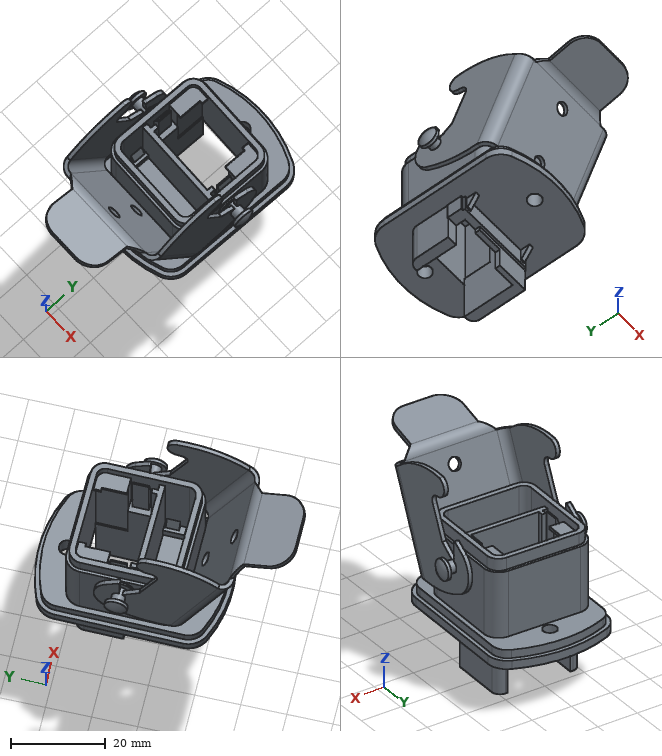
import cadquery as cq
import math


OVERLAP = 0.1

BODY_TURN = -1.0
LEVER_OPENING = 24.7
LEVER_LEAN = -0.5

FLANGE_HALF_WIDTH = 15.0
FLANGE_HALF_LENGTH = 21.0
FLANGE_END_RADIUS = 30.7
FLANGE_CORNER_RADIUS = 5.0
FLANGE_STEP = 1.0
FLANGE_STEP_Z = 2.1
FLANGE_TOP = 4.15
MOUNT_HOLE_Y = 15.0
MOUNT_HOLE_DIAMETER = 3.35

TOWER_HALF = 12.8
TOWER_RADIUS = 3.7
TOWER_STEP_Z = 20.35
TOWER_TOP = 23.3
RIM_INSET = 0.7
CAVITY_HALF = 10.8
CAVITY_RADIUS = 1.9

LEG_BOTTOM = -11.2
LEG_OUTER_X = 10.55
LEG_INNER_X = 7.9
LEG_BACK_Y = 10.75
LEG_CORNER_RADIUS = 2.1
INSERT_TOP = 21.35
CROSS_WALL_BACK_Y = -2.45
CROSS_WALL_FRONT_Y = -3.7
COLLAR_BOTTOM = -4.45
COLLAR_HALF = 10.7
COLLAR_PAD_HALF = 10.1
COLLAR_PAD_Y = -4.25
TONGUE_BOTTOM = -5.6
TONGUE_LEFT_X = -4.55
FRONT_LEG_LEFT_X = 2.15
RIB_X = 8.9
RIB_WIDTH = 1.15
RIB_FRONT_Y = -6.7
RIB_FOOT_Y = -4.5
RIB_NOSE_Z = -3.3
RIB_BOTTOM = -3.4
LIP_INNER_X = 7.15
LIP_FRONT_Y = 3.75
LIP_THICKNESS = 0.7
NUB_INNER_X = 6.4
NUB_FRONT_Y = 9.2
GUIDE_INNER_X = 8.25
LEDGE_Z = 11.35
LATCH_BACK_Y = 3.05
LATCH_FRONT_Y = -0.5
LATCH_X = 9.25
LATCH_THICKNESS = 0.35
LATCH_TOP = 22.15
LATCH_SLOPE_Z = 18.2
POST_INNER_X = 8.5
POST_OUTER_X = 9.55
POST_BACK_Y = -1.2
SHELF_INNER_X = 8.85
SHELF_FRONT_Y = -8.35
WEDGE_X = 9.65
WEDGE_BACK_Y = -4.05
WEDGE_FRONT_Y = -7.0
WEDGE_RISE = 2.3
CORNER_STEP = 1.15

PIN_Z = 16.85
PIN_RADIUS = 1.5
PIN_SPAN = 36.5
PIN_HALF_SPAN = PIN_SPAN / 2
HEAD_RADIUS = 2.5
HEAD_THICKNESS = 1.6
HEAD_RIM = 0.8
BOSS_RADIUS = 2.95
BOSS_HEIGHT = 0.45

LEVER_HALF_WIDTH = 14.75
SHEET = 1.0
LEVER_BEND_RADIUS = 3.0
PLATE_FRONT_Y = -16.4
PLATE_TOP = 21.75
PLATE_BOTTOM = -2.3
PLATE_HOLE_DIAMETER = 3.05
PLATE_HOLES_Z = (2.65, 17.65)
TAB_BEND = 50.0
TAB_BEND_RADIUS = 3.65
TAB_LENGTH = 10.45
TAB_HALF_WIDTH = 8.6
TAB_CORNER_RADIUS = 5.0


def block(x0, x1, y0, y1, z0, z1):
    """Axis-aligned block between pairs of opposite faces."""
    return cq.Workplane("XY").box(x1 - x0, y1 - y0, z1 - z0, centered=False).translate((x0, y0, z0))


def rounded_prism(half, radius, z0, z1):
    """Square prism with rounded upright edges."""
    return block(-half, half, -half, half, z0, z1).edges("|Z").fillet(radius)


def both_sides(solid):
    """A solid together with its mirror image in X."""
    return solid.union(solid.mirror("YZ"))


def flange_layer(inset, z0, z1):
    """Plate with straight sides, bowed ends and corner arcs tangent to both."""
    half_width = FLANGE_HALF_WIDTH - inset
    half_length = FLANGE_HALF_LENGTH - inset
    corner = FLANGE_CORNER_RADIUS - inset
    end = FLANGE_END_RADIUS - inset
    corner_x = half_width - corner
    bow_center_y = half_length - end
    bow_angle = math.asin(corner_x / (end - corner))
    corner_y = bow_center_y + (end - corner) * math.cos(bow_angle)
    join = (end * math.sin(bow_angle), bow_center_y + end * math.cos(bow_angle))
    mid_angle = bow_angle / 2 + math.pi / 4
    mid = (corner_x + corner * math.sin(mid_angle), corner_y + corner * math.cos(mid_angle))
    return (
        cq.Workplane("XY").workplane(offset=z0)
        .moveTo(half_width, -corner_y)
        .lineTo(half_width, corner_y)
        .threePointArc(mid, join)
        .threePointArc((0, half_length), (-join[0], join[1]))
        .threePointArc((-mid[0], mid[1]), (-half_width, corner_y))
        .lineTo(-half_width, -corner_y)
        .threePointArc((-mid[0], -mid[1]), (-join[0], -join[1]))
        .threePointArc((0, -half_length), (join[0], -join[1]))
        .threePointArc((mid[0], -mid[1]), (half_width, -corner_y))
        .close()
        .extrude(z1 - z0)
    )


def housing():
    """Flange and hollow tower, open below where the insert passes through."""
    rim_half = TOWER_HALF - RIM_INSET
    solid = flange_layer(0, 0, FLANGE_STEP_Z).union(flange_layer(FLANGE_STEP, FLANGE_STEP_Z, FLANGE_TOP))
    solid = solid.union(rounded_prism(TOWER_HALF, TOWER_RADIUS, 0, TOWER_STEP_Z))
    solid = solid.union(rounded_prism(rim_half, TOWER_RADIUS - RIM_INSET, 0, TOWER_TOP))
    solid = solid.cut(rounded_prism(CAVITY_HALF, CAVITY_RADIUS, FLANGE_STEP_Z, TOWER_TOP))
    solid = solid.cut(block(-LEG_INNER_X, LEG_INNER_X, CROSS_WALL_BACK_Y, CAVITY_HALF, 0, FLANGE_STEP_Z))
    holes = (
        cq.Workplane("XY")
        .pushPoints([(0, MOUNT_HOLE_Y), (0, -MOUNT_HOLE_Y)])
        .circle(MOUNT_HOLE_DIAMETER / 2)
        .extrude(FLANGE_TOP)
    )
    return solid.cut(holes)


def insert_legs():
    """Legs, collar and ribs that hang below the flange."""
    leg = block(LEG_INNER_X, LEG_OUTER_X, 0, LEG_BACK_Y, LEG_BOTTOM, OVERLAP)
    leg = leg.edges("|Z and >X and >Y").fillet(LEG_CORNER_RADIUS)
    collar_side = block(LEG_INNER_X, COLLAR_HALF, CROSS_WALL_FRONT_Y, OVERLAP, COLLAR_BOTTOM, OVERLAP)
    rib = (
        cq.Workplane("YZ").workplane(offset=RIB_X - RIB_WIDTH / 2)
        .moveTo(CROSS_WALL_FRONT_Y, OVERLAP)
        .lineTo(CROSS_WALL_FRONT_Y, RIB_BOTTOM)
        .lineTo(RIB_FOOT_Y, RIB_BOTTOM)
        .lineTo(RIB_FOOT_Y, RIB_NOSE_Z)
        .lineTo(RIB_FRONT_Y, 0)
        .lineTo(RIB_FRONT_Y, OVERLAP)
        .close()
        .extrude(RIB_WIDTH)
    )
    solid = both_sides(leg.union(collar_side).union(rib))
    front, back = CROSS_WALL_FRONT_Y, CROSS_WALL_BACK_Y
    solid = solid.union(block(-COLLAR_HALF, COLLAR_HALF, front, back, COLLAR_BOTTOM, OVERLAP))
    solid = solid.union(
        block(-COLLAR_PAD_HALF, COLLAR_PAD_HALF, COLLAR_PAD_Y, front, COLLAR_BOTTOM, OVERLAP)
    )
    solid = solid.union(block(TONGUE_LEFT_X, LEG_OUTER_X, front, back, TONGUE_BOTTOM, OVERLAP))
    solid = solid.union(block(FRONT_LEG_LEFT_X, LEG_OUTER_X, front, back, LEG_BOTTOM, OVERLAP))
    return solid.union(block(LEG_INNER_X, LEG_OUTER_X, back, OVERLAP, LEG_BOTTOM, OVERLAP))


def insert_walls():
    """Cross wall, side guides, latches and shelves inside the tower."""
    wall_x = CAVITY_HALF + OVERLAP
    base = FLANGE_STEP_Z - OVERLAP
    cross_front, cross_back = CROSS_WALL_FRONT_Y, CROSS_WALL_BACK_Y

    side = block(GUIDE_INNER_X, wall_x, LIP_FRONT_Y, wall_x, base, INSERT_TOP)
    lip_bottom = INSERT_TOP - LIP_THICKNESS
    side = side.union(block(LIP_INNER_X, wall_x, LIP_FRONT_Y, wall_x, lip_bottom, INSERT_TOP))
    side = side.union(block(NUB_INNER_X, wall_x, NUB_FRONT_Y, wall_x, lip_bottom, INSERT_TOP))

    side = side.union(block(LEG_INNER_X, wall_x, cross_back, LIP_FRONT_Y, base, LEDGE_Z))
    latch = (
        cq.Workplane("XZ", origin=(0, LATCH_BACK_Y, 0))
        .moveTo(LATCH_X, base)
        .lineTo(LATCH_X, LATCH_TOP)
        .lineTo(LATCH_X + LATCH_THICKNESS, LATCH_TOP)
        .lineTo(CAVITY_HALF, LATCH_SLOPE_Z)
        .lineTo(CAVITY_HALF, base)
        .close()
        .extrude(LATCH_BACK_Y - LATCH_FRONT_Y)
    )
    side = side.union(latch)
    side = side.union(block(POST_INNER_X, POST_OUTER_X, cross_back, POST_BACK_Y, base, INSERT_TOP))

    shelf = block(SHELF_INNER_X, wall_x, SHELF_FRONT_Y, cross_front, base, FLANGE_TOP)
    wedge = (
        cq.Workplane("XZ", origin=(0, WEDGE_BACK_Y, 0))
        .moveTo(WEDGE_X, base)
        .lineTo(WEDGE_X, FLANGE_TOP)
        .lineTo(wall_x, FLANGE_TOP + WEDGE_RISE)
        .lineTo(wall_x, base)
        .close()
        .extrude(WEDGE_BACK_Y - WEDGE_FRONT_Y)
    )
    shelf = shelf.union(wedge)
    shelf = shelf.union(
        block(SHELF_INNER_X, wall_x, -wall_x, SHELF_FRONT_Y, base, FLANGE_TOP - CORNER_STEP)
    )
    walls = both_sides(side.union(shelf))
    return walls.union(block(-wall_x, wall_x, cross_front, cross_back, base, INSERT_TOP))


def pin():
    """Boss, shaft and domed head on the +X side."""
    start = CAVITY_HALF + OVERLAP
    boss_end = TOWER_HALF + BOSS_HEIGHT
    head_start = PIN_HALF_SPAN - HEAD_THICKNESS
    dome_start = head_start + HEAD_RIM
    dome_height = PIN_HALF_SPAN - dome_start
    dome_radius = (HEAD_RADIUS**2 + dome_height**2) / (2 * dome_height)
    dome_mid_angle = math.asin(HEAD_RADIUS / dome_radius) / 2
    dome_mid = (
        PIN_HALF_SPAN - dome_radius * (1 - math.cos(dome_mid_angle)),
        dome_radius * math.sin(dome_mid_angle),
    )
    return (
        cq.Workplane("XY")
        .moveTo(start, 0)
        .lineTo(start, BOSS_RADIUS)
        .lineTo(boss_end, BOSS_RADIUS)
        .lineTo(boss_end, PIN_RADIUS)
        .lineTo(head_start, PIN_RADIUS)
        .lineTo(head_start, HEAD_RADIUS)
        .lineTo(dome_start, HEAD_RADIUS)
        .threePointArc(dome_mid, (PIN_HALF_SPAN, 0))
        .close()
        .revolve(360, (0, 0, 0), (1, 0, 0))
        .translate((0, 0, PIN_Z))
    )


def lever_side_profile():
    """Side outline of the lever, with the hook that reaches over the pin."""
    return (
        cq.Workplane("YZ").workplane(offset=-LEVER_HALF_WIDTH)
        .moveTo(PLATE_FRONT_Y, PLATE_BOTTOM)
        .lineTo(-13.6, -3.3)
        .threePointArc((-6.95, -5.75), (0.4, -6.2))
        .threePointArc((5.55, -0.7), (5.0, 2.5))
        .lineTo(3.1, 5.4)
        .threePointArc((2.8, 5.55), (2.5, 5.2))
        .lineTo(0.7, 1.0)
        .lineTo(0.1, 1.35)
        .lineTo(-2.2, 5.3)
        .lineTo(-2.35, 13.7)
        .threePointArc((-1.75, 15.15), (-0.4, 15.55))
        .lineTo(0.7, 15.3)
        .threePointArc((3.75, 17.05), (2.85, 19.6))
        .threePointArc((-5.7, 22.3), (-13.65, 21.6))
        .lineTo(PLATE_FRONT_Y, PLATE_TOP)
        .close()
        .extrude(2 * LEVER_HALF_WIDTH)
    )


def lever_channel():
    """U-shaped sheet, plate towards -Y, trimmed to the side outline."""
    depth = 22.7
    z0, z1 = -6.8, 23.85
    half = LEVER_HALF_WIDTH
    back_y = PLATE_FRONT_Y + depth
    outer = block(-half, half, PLATE_FRONT_Y, back_y, z0, z1)
    outer = outer.edges("|Z and <Y").fillet(LEVER_BEND_RADIUS)
    inner = block(-half + SHEET, half - SHEET, PLATE_FRONT_Y + SHEET, back_y, z0, z1)
    inner = inner.edges("|Z and <Y").fillet(LEVER_BEND_RADIUS - SHEET)
    holes = (
        cq.Workplane("XZ", origin=(0, PLATE_FRONT_Y, 0))
        .pushPoints([(0, z) for z in PLATE_HOLES_Z])
        .circle(PLATE_HOLE_DIAMETER / 2)
        .extrude(-SHEET)
    )
    return outer.cut(inner).intersect(lever_side_profile()).cut(holes)


def lever_tab():
    """Thumb tab: sheet bent outwards from the top of the plate, narrowing across the bend."""
    bend = math.radians(TAB_BEND)
    inner_y = PLATE_FRONT_Y + SHEET
    center_y = inner_y - TAB_BEND_RADIUS
    along = (-math.sin(bend), math.cos(bend))

    def on_bend(radius, angle, distance=0.0):
        """Point on the bend at a given angle, moved on along the tab."""
        return (
            center_y + radius * math.cos(angle) + distance * along[0],
            PLATE_TOP + radius * math.sin(angle) + distance * along[1],
        )

    outer_radius = TAB_BEND_RADIUS
    inner_radius = TAB_BEND_RADIUS - SHEET
    root = PLATE_TOP - SHEET
    section = (
        cq.Workplane("YZ").workplane(offset=-LEVER_HALF_WIDTH)
        .moveTo(inner_y, root)
        .lineTo(inner_y, PLATE_TOP)
        .threePointArc(on_bend(outer_radius, bend / 2), on_bend(outer_radius, bend))
        .lineTo(*on_bend(outer_radius, bend, TAB_LENGTH))
        .lineTo(*on_bend(inner_radius, bend, TAB_LENGTH))
        .lineTo(*on_bend(inner_radius, bend))
        .threePointArc(on_bend(inner_radius, bend / 2), (PLATE_FRONT_Y, PLATE_TOP))
        .lineTo(PLATE_FRONT_Y, root)
        .close()
        .extrude(2 * LEVER_HALF_WIDTH)
    )
    root_half = LEVER_HALF_WIDTH - LEVER_BEND_RADIUS
    bend_rise = TAB_BEND_RADIUS * math.sin(bend)
    root_drop = -bend_rise - SHEET
    tab_plane = cq.Plane(
        origin=(0, *on_bend(outer_radius, bend)),
        xDir=(1, 0, 0),
        normal=(0, -along[1], along[0]),
    )
    reach = 2 * TAB_BEND_RADIUS
    corner_x = TAB_HALF_WIDTH - TAB_CORNER_RADIUS
    corner_start = TAB_LENGTH - TAB_CORNER_RADIUS
    outline = (
        cq.Workplane(tab_plane)
        .moveTo(-root_half, root_drop)
        .lineTo(root_half, root_drop)
        .lineTo(root_half, -bend_rise)
        .lineTo(TAB_HALF_WIDTH, 0)
        .lineTo(TAB_HALF_WIDTH, corner_start)
        .radiusArc((corner_x, TAB_LENGTH), -TAB_CORNER_RADIUS)
        .lineTo(-corner_x, TAB_LENGTH)
        .radiusArc((-TAB_HALF_WIDTH, corner_start), -TAB_CORNER_RADIUS)
        .lineTo(-TAB_HALF_WIDTH, 0)
        .lineTo(-root_half, -bend_rise)
        .close()
        .extrude(reach, both=True)
    )
    return section.intersect(outline)


def lever():
    """Lever swung open on the pins."""
    solid = lever_channel().union(lever_tab())
    solid = solid.rotate((0, 0, 0), (1, 0, 0), LEVER_OPENING)
    solid = solid.rotate((0, 0, 0), (0, 1, 0), LEVER_LEAN)
    return solid.translate((0, 0, PIN_Z))


body = housing().union(insert_legs()).union(insert_walls()).union(both_sides(pin()))
body = body.rotate((0, 0, 0), (0, 0, 1), BODY_TURN)
result = body.union(lever())